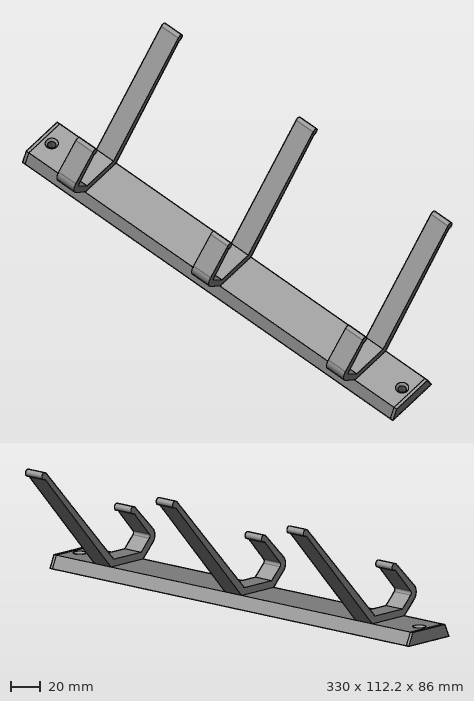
import cadquery as cq
import math

total_length = 330.0
cap_thickness = 2.3
rail_length = total_length - 2 * cap_thickness
rail_height = 9.0
rail_base_width = 40.0
rail_top_width = 32.0

screw_spacing = 312.2
screw_diameter = 5.5
countersink_diameter = 9.0
countersink_angle = 90.0

hook_count = 3
hook_pitch = 120.0
hook_width = 15.2
total_depth = 112.2
total_height = 86.0
strip_thickness = 5.0
neck_thickness = 3.5
tip_radius = 2.48
back_reach = 84.5
floor_back = 13.2
front_reach = back_reach - total_depth
bend_radius = 7.0
lip_length = 25.0
lip_angle = 45.0


def rail_section(length, start_x):
    """Trapezoidal rail profile extruded along +X from start_x."""
    base_half = rail_base_width / 2
    top_half = rail_top_width / 2
    return (
        cq.Workplane("YZ", origin=(start_x, 0, 0))
        .moveTo(-base_half, 0)
        .lineTo(base_half, 0)
        .lineTo(top_half, rail_height)
        .lineTo(-top_half, rail_height)
        .close()
        .extrude(length)
    )


def make_rail():
    return (
        rail_section(rail_length, -rail_length / 2)
        .faces(">Z")
        .workplane(origin=(0, 0, rail_height))
        .pushPoints([(-screw_spacing / 2, 0), (screw_spacing / 2, 0)])
        .cskHole(screw_diameter, countersink_diameter, countersink_angle)
    )


def make_end_cap(start_x):
    return rail_section(cap_thickness, start_x)


def offset_point(origin, angle, along, outward):
    """Point at a distance along a direction and to the left of it (angle in radians)."""
    return (
        origin[0] + along * math.cos(angle) - outward * math.sin(angle),
        origin[1] + along * math.sin(angle) + outward * math.cos(angle),
    )


def make_hook(center_x):
    seat_half = rail_top_width / 2
    floor_z = rail_height + strip_thickness
    floor_front = strip_thickness * math.tan(math.radians(lip_angle / 2)) - seat_half

    neck_outward = tip_radius - neck_thickness
    neck_along = -math.sqrt(tip_radius**2 - neck_outward**2)

    arm_tip = (back_reach - tip_radius, total_height - tip_radius)
    run = arm_tip[0] - floor_back
    rise = arm_tip[1] - floor_z
    arm_angle = math.atan2(rise, run) + math.asin(tip_radius / math.hypot(run, rise))

    bend_y = front_reach + bend_radius
    corner_y = bend_y - bend_radius * math.sqrt(2)
    bend_center = (bend_y, rail_height - seat_half - corner_y)
    inner_radius = bend_radius - strip_thickness
    lip = math.radians(lip_angle)

    lip_tip = offset_point(bend_center, lip, lip_length, bend_radius - tip_radius)

    profile = (
        cq.Workplane("YZ", origin=(center_x - hook_width / 2, 0, 0))
        .moveTo(seat_half, rail_height)
        .lineTo(*offset_point(arm_tip, arm_angle, neck_along, neck_outward))
        .threePointArc(
            offset_point(arm_tip, arm_angle, tip_radius, 0),
            offset_point(arm_tip, arm_angle, 0, tip_radius),
        )
        .lineTo(floor_back, floor_z)
        .lineTo(floor_front, floor_z)
        .lineTo(*offset_point(bend_center, lip, -inner_radius, 0))
        .threePointArc(
            (bend_center[0] - inner_radius, bend_center[1]),
            offset_point(bend_center, lip, 0, inner_radius),
        )
        .lineTo(*offset_point(lip_tip, lip, neck_along, neck_outward))
        .threePointArc(
            offset_point(lip_tip, lip, tip_radius, 0),
            offset_point(lip_tip, lip, 0, tip_radius),
        )
        .lineTo(*offset_point(bend_center, lip, 0, bend_radius))
        .threePointArc(
            (front_reach, bend_center[1]),
            offset_point(bend_center, lip, -bend_radius, 0),
        )
        .lineTo(-seat_half, rail_height)
        .close()
    )
    return profile.extrude(hook_width)


rail = make_rail()
end_caps = [make_end_cap(x) for x in (-total_length / 2, rail_length / 2)]
hooks = [make_hook((i - (hook_count - 1) / 2) * hook_pitch) for i in range(hook_count)]

result = cq.Compound.makeCompound(
    [rail.val(), *[cap.val() for cap in end_caps], *[hook.val() for hook in hooks]]
)